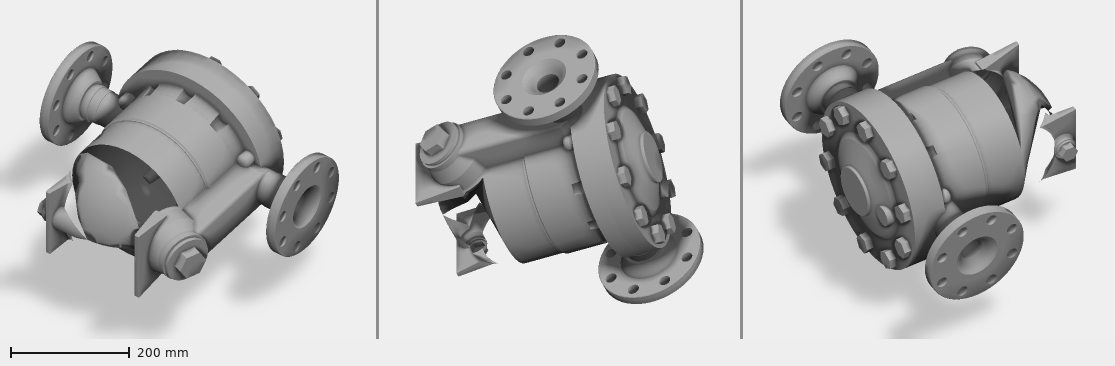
import cadquery as cq
import math


cover_d = 305.0
cover_top = 69.0
split_y = 38.3
body_flange_bottom = 7.3
neck_r = 122.3
neck_fillet_r = 3.5
neck_end = -16.0
upper_body_r = 119.4
upper_body_end = -91.0
seam_r = 117.3
seam_end = -96.0
shell_r = 116.0
shell_end = -169.3
edge_break = 1.0
tolerance = 0.05

cover_boss_d = 90.0
cover_boss_top = 97.0
cover_boss_height = 5.6
cover_crown_r = 88.0
cover_crown_y = 75.6
cover_crown_foot_r = 98.0
cover_pad_d = 36.0
cover_pad_x = -76.0
cover_pad_top = 87.8

bolt_count = 10
bolt_pitch = 360.0 / bolt_count
bolt_circle_r = 130.0
bolt_head_flats = 30.0
bolt_head_height = 13.0
pocket_centre_r = 124.0
pocket_mouth_r = 12.0
pocket_end_r = 10.5
pocket_end = -20.7
bolt_d = 21.0
bolt_boss_r = 13.3
bolt_boss_end = -14.7
bolt_boss_round = 9.0

inlet_face = -241.0
outlet_face = 251.0
flange_d = 185.0
flange_thickness = 18.5
flange_hole_d = 20.0
flange_hole_count = 8
flange_hole_circle_d = 149.0
hub_root_r = 51.5
hub_mid_r = 39.5
hub_mid_x = 36.5
hub_tip_r = 36.5
hub_end = 40.0
pipe_d = 62.0
pipe_length = 72.0
weld_bead_r = 32.3
weld_bead_start = 48.0
weld_bead_end = 55.0
body_pipe_d = 60.0
bore_d = 40.0
bore_mouth_d = 80.0
bore_mouth_depth = 17.0

channel_outer_x = 168.0
channel_half_width = 35.0
channel_top = 8.0
channel_bottom = -205.0
channel_edge_r = 8.0
channel_shoulder_rise = 15.0
channel_shoulder_width = 5.0
channel_root_r = 4.0

cap_tilt = 20.0
cap_face_x = 167.4
cap_face_y = -226.7
cap_boss_r = 55.0
cap_boss_depth = 105.0
cap_boss_end = -43.8
cap_neck_d = 90.0
cap_neck_start = -20.0
cap_neck_end = -8.5
cap_gasket_d = 80.0
cap_gasket_end = -6.0
cap_plate_d = 83.0
cap_root_r = 5.0
cap_head_flats = 46.0
cap_head_height = 17.0

drain_y = -262.4
drain_boss_r = drain_y - (shell_end - shell_r)
drain_collar_d = 40.0
drain_collar_x = -94.0
drain_root_r = 24.0
drain_root_x = -88.0
drain_washer_d = 36.0
drain_washer_x = -98.0
drain_head_flats = 27.0
drain_head_x = -110.0

foot_bottom = -290.8
foot_half_width = 69.2
foot_draft_rise = 62.5
foot_draft = 7.2
foot_edge_r = 1.5
foot_root_r = 5.0
left_foot_x = -83.0
right_foot_x = 112.0


def revolve_y(points):
    """Solid of revolution about Y from (radius, y) points."""
    return cq.Workplane("XY").polyline(points).close().revolve(360, (0, 0, 0), (0, 1, 0))


def disc_x(x_start, x_end, radius, y=0.0):
    """Cylinder along X between two x positions."""
    return cq.Workplane("YZ", origin=(x_start, y, 0)).circle(radius).extrude(x_end - x_start)


def hexagon(flats):
    """Corner points of a hexagon, with corners on the local X axis."""
    corner_r = flats / math.sqrt(3)
    angles = [math.radians(60 * i) for i in range(6)]
    return [(corner_r * math.cos(a), corner_r * math.sin(a)) for a in angles]


def bolt_places():
    """Bolt angles about Y, measured from +X toward +Z."""
    return [bolt_pitch * (i + 0.5) for i in range(bolt_count)]


def beside_pipe(angle):
    """True for the four bolts next to the inlet and outlet pipes."""
    return abs(math.sin(math.radians(angle))) < 0.5


def around_body(shape, radius, angle):
    """Move a shape from the Y axis to a radius and angle around it."""
    return shape.translate((radius, 0, 0)).rotate((0, 0, 0), (0, 1, 0), -angle)


def make_upper_body():
    """Body flange, tapered neck, upper body and the stepped seam below it."""
    flange_r = cover_d / 2
    step = upper_body_r - seam_r
    profile = (
        cq.Workplane("XY")
        .moveTo(0, split_y)
        .lineTo(flange_r, split_y)
        .lineTo(flange_r, body_flange_bottom)
        .lineTo(neck_r + neck_fillet_r, body_flange_bottom)
        .radiusArc((neck_r, body_flange_bottom - neck_fillet_r), -neck_fillet_r)
        .lineTo(upper_body_r, neck_end)
        .lineTo(upper_body_r, upper_body_end)
        .lineTo(seam_r, upper_body_end - step)
        .lineTo(seam_r, seam_end)
        .lineTo(0, seam_end)
        .close()
    )
    return profile.revolve(360, (0, 0, 0), (0, 1, 0))


def make_shell():
    """Lower shell and hemispherical dome, reaching up inside the upper body."""
    profile = (
        cq.Workplane("XY")
        .moveTo(0, upper_body_end)
        .lineTo(shell_r, upper_body_end)
        .lineTo(shell_r, shell_end)
        .radiusArc((0, shell_end - shell_r), shell_r)
        .close()
    )
    return profile.revolve(360, (0, 0, 0), (0, 1, 0))


def make_cover():
    boss_r = cover_boss_d / 2
    cover = revolve_y([
        (0, split_y),
        (cover_d / 2, split_y),
        (cover_d / 2, cover_top),
        (cover_crown_foot_r, cover_top),
        (cover_crown_r, cover_crown_y),
        (boss_r, cover_boss_top - cover_boss_height),
        (boss_r, cover_boss_top - edge_break),
        (boss_r - edge_break, cover_boss_top),
        (0, cover_boss_top),
    ])
    pad = (
        cq.Workplane("XZ", origin=(cover_pad_x, cover_pad_top, 0))
        .circle(cover_pad_d / 2)
        .extrude(cover_pad_top - split_y)
    )
    return cover.union(pad)


def make_bolt_head():
    return (
        cq.Workplane("XZ", origin=(0, cover_top + bolt_head_height, 0))
        .polyline(hexagon(bolt_head_flats))
        .close()
        .extrude(bolt_head_height)
        .rotate((0, 0, 0), (0, 1, 0), 90)
    )


def make_bolt_shank():
    """Bolt shank ending flush with the lower face of the body flange."""
    return (
        cq.Workplane("XZ", origin=(0, cover_top, 0))
        .circle(bolt_d / 2)
        .extrude(cover_top - body_flange_bottom)
    )


def make_bolt_pocket():
    return revolve_y([
        (0, body_flange_bottom),
        (pocket_mouth_r, body_flange_bottom),
        (pocket_end_r, pocket_end),
        (0, pocket_end),
    ])


def make_bolt_boss():
    return (
        cq.Workplane("XZ", origin=(0, split_y, 0))
        .circle(bolt_boss_r)
        .extrude(split_y - bolt_boss_end)
        .faces("<Y")
        .edges()
        .fillet(bolt_boss_round)
    )


def make_pipe_end():
    """Weld-neck flange and pipe, with the flange face at x = 0 and the pipe toward +X."""
    flange_r = flange_d / 2
    pipe_r = pipe_d / 2
    profile = [
        (0, 0),
        (0, flange_r - edge_break),
        (edge_break, flange_r),
        (flange_thickness - edge_break, flange_r),
        (flange_thickness, flange_r - edge_break),
        (flange_thickness, hub_root_r),
        (hub_mid_x, hub_mid_r),
        (hub_end, hub_tip_r),
        (hub_end, pipe_r),
        (weld_bead_start, pipe_r),
        (weld_bead_start, weld_bead_r),
        (weld_bead_end, weld_bead_r),
        (weld_bead_end, pipe_r),
        (pipe_length, pipe_r),
        (pipe_length, 0),
    ]
    pipe_end = cq.Workplane("XY").polyline(profile).close().revolve(360, (0, 0, 0), (1, 0, 0))
    bore_profile = [
        (0, 0),
        (0, bore_mouth_d / 2),
        (bore_mouth_depth, bore_d / 2),
        (pipe_length, bore_d / 2),
        (pipe_length, 0),
    ]
    bore = cq.Workplane("XY").polyline(bore_profile).close().revolve(360, (0, 0, 0), (1, 0, 0))
    holes = (
        cq.Workplane("YZ")
        .polarArray(flange_hole_circle_d / 2, 180 / flange_hole_count, 360, flange_hole_count)
        .circle(flange_hole_d / 2)
        .extrude(flange_thickness)
    )
    return pipe_end.cut(bore).cut(holes)


def make_channel(bottom):
    """Outlet channel running along Y down to the given level, with an outer wall curved about the body axis."""
    corner_x = math.sqrt(channel_outer_x**2 - channel_half_width**2)
    return (
        cq.Workplane("XZ", origin=(0, channel_top, 0))
        .moveTo(0, -channel_half_width)
        .lineTo(corner_x, -channel_half_width)
        .threePointArc((channel_outer_x, 0), (corner_x, channel_half_width))
        .lineTo(0, channel_half_width)
        .close()
        .extrude(channel_top - bottom)
        .faces(">Y")
        .edges("|X")
        .chamfer(channel_shoulder_rise, channel_shoulder_width)
        .edges("|Y")
        .edges(">X")
        .fillet(channel_edge_r)
    )


def make_cap():
    """Strainer boss, cap plate and hexagon, built along the tilted cap axis."""
    neck_r_cap = cap_neck_d / 2
    plate_r = cap_plate_d / 2
    gasket_r = cap_gasket_d / 2
    profile = [
        (0, -cap_boss_depth),
        (cap_boss_r, -cap_boss_depth),
        (cap_boss_r, cap_boss_end),
        (neck_r_cap, cap_neck_start),
        (neck_r_cap, cap_neck_end),
        (gasket_r, cap_neck_end),
        (gasket_r, cap_gasket_end),
        (plate_r, cap_gasket_end),
        (plate_r, 0),
        (0, 0),
    ]
    axis_direction = (math.cos(math.radians(cap_tilt)), -math.sin(math.radians(cap_tilt)), 0)
    plane = cq.Plane(origin=(cap_face_x, cap_face_y, 0), xDir=(0, 0, 1), normal=axis_direction)
    side_plane = cq.Plane(origin=plane.origin, xDir=(0, 0, 1), normal=plane.yDir.multiply(-1))
    turned = cq.Workplane(side_plane).polyline(profile).close().revolve(360, (0, 0, 0), (0, 1, 0))
    head_plane = plane.rotated((0, 0, 90))
    head = cq.Workplane(head_plane).polyline(hexagon(cap_head_flats)).close().extrude(cap_head_height)
    return turned.union(head)


def make_drain():
    collar_r = drain_collar_d / 2
    drain = disc_x(left_foot_x, 0, drain_boss_r, drain_y)
    root = (
        cq.Workplane("XY", origin=(0, drain_y, 0))
        .polyline([
            (drain_collar_x, 0),
            (drain_collar_x, collar_r),
            (drain_root_x, collar_r),
            (left_foot_x, drain_root_r),
            (left_foot_x, 0),
        ])
        .close()
        .revolve(360, (0, 0, 0), (1, 0, 0))
    )
    washer = disc_x(drain_washer_x, drain_collar_x, drain_washer_d / 2, drain_y)
    head = (
        cq.Workplane("YZ", origin=(drain_head_x, drain_y, 0))
        .polyline(hexagon(drain_head_flats))
        .close()
        .extrude(drain_washer_x - drain_head_x)
    )
    return drain.union(root).union(washer).union(head)


def make_foot(section):
    """Foot with the given XY section, narrowing in Z from its bottom edge upward."""
    slope = foot_draft / foot_draft_rise
    height = max(y for _, y in section) - foot_bottom
    top_half_width = foot_half_width - slope * height
    blank = cq.Workplane("XY").polyline(section).close().extrude(foot_half_width, both=True)
    x_min = min(x for x, _ in section)
    x_max = max(x for x, _ in section)
    outline = (
        cq.Workplane("YZ", origin=(x_min, 0, 0))
        .polyline([
            (foot_bottom, -foot_half_width),
            (foot_bottom, foot_half_width),
            (foot_bottom + height, top_half_width),
            (foot_bottom + height, -top_half_width),
        ])
        .close()
        .extrude(x_max - x_min)
    )
    return blank.intersect(outline).faces("<Y").edges().fillet(foot_edge_r)


def edges_where(shape, test):
    """Edges of a shape that pass a test."""
    return shape.newObject([edge for edge in shape.edges().vals() if test(edge)])


def lies_on_dome(edge):
    """True for an edge on the spherical dome, below its equator."""
    centre = cq.Vector(0, shell_end, 0)
    middle = edge.positionAt(0.5)
    points = [edge.positionAt(0.01), middle, edge.positionAt(0.99)]
    on_sphere = all(abs((p - centre).Length - shell_r) < tolerance for p in points)
    return on_sphere and middle.y < shell_end - tolerance


def lies_on_channel_side(edge):
    """True for an edge in a flat channel side that runs along neither X nor Y."""
    box = edge.BoundingBox()
    in_side = abs(abs(edge.Center().z) - channel_half_width) < tolerance and box.zlen < tolerance
    return in_side and box.xlen > tolerance and box.ylen > tolerance


def fillet_left_foot_root(shape):
    return edges_where(shape, lies_on_dome).fillet(foot_root_r)


def fillet_cap_to_channel(shape):
    return edges_where(shape, lies_on_channel_side).fillet(cap_root_r)


def fillet_cap_to_dome(shape):
    """Fillet the dome joint on the cap side only."""
    return edges_where(shape, lambda edge: edge.Center().x > 0 and lies_on_dome(edge)).fillet(cap_root_r)


def fillet_channel_to_body(shape):
    """Fillet the two corners where the channel sides meet the upper body."""
    joint_x = math.sqrt(upper_body_r**2 - channel_half_width**2)
    reach = cq.Vector(1, 1, channel_half_width + 1)
    middle = cq.Vector(joint_x, (neck_end + upper_body_end) / 2, 0)
    corners = cq.selectors.BoxSelector((middle - reach).toTuple(), (middle + reach).toTuple())
    return shape.edges(corners).fillet(channel_root_r)


left_foot = make_foot([
    (left_foot_x, foot_bottom),
    (-74.3, foot_bottom),
    (-63.0, -215.0),
    (left_foot_x, -215.0),
])
right_foot = make_foot([
    (right_foot_x, foot_bottom),
    (103.0, foot_bottom),
    (88.0, -210.0),
    (right_foot_x, -210.0),
])

shell = fillet_left_foot_root(make_shell().union(left_foot))
outlet_side = fillet_cap_to_channel(make_channel(channel_bottom).union(make_cap()))
shell = fillet_cap_to_dome(shell.union(outlet_side))
upper_body = fillet_channel_to_body(make_upper_body().union(make_channel(upper_body_end)))
body = upper_body.union(shell)

for bolt_angle in bolt_places():
    if beside_pipe(bolt_angle):
        body = body.union(around_body(make_bolt_boss(), bolt_circle_r, bolt_angle))
    else:
        body = body.cut(around_body(make_bolt_pocket(), pocket_centre_r, bolt_angle))

inlet = make_pipe_end().translate((inlet_face, 0, 0))
outlet = make_pipe_end().rotate((0, 0, 0), (0, 1, 0), 180).translate((outlet_face, 0, 0))
body_pipe = disc_x(inlet_face + pipe_length, outlet_face - pipe_length, body_pipe_d / 2)
for piece in (body_pipe, inlet, outlet, make_drain(), right_foot):
    body = body.union(piece)

result = body.union(make_cover(), clean=False)
for bolt_angle in bolt_places():
    bolt = make_bolt_head()
    if not beside_pipe(bolt_angle):
        bolt = bolt.union(make_bolt_shank())
    result = result.union(around_body(bolt, bolt_circle_r, bolt_angle), clean=False)